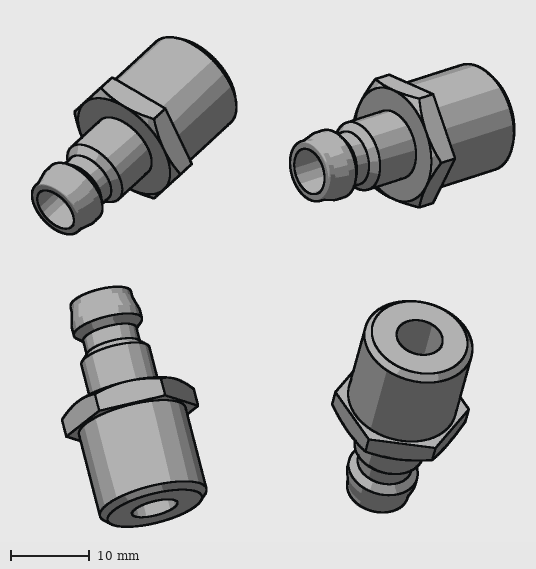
import cadquery as cq
import math

total_length = 29.0
tip_land_end = 1.0
nose_end = 2.85
bead_end = 4.0
groove_start = 5.0
groove_end = 7.0
shank_start = 8.0
hex_front = 14.0
hex_back = 17.0

bore_radius = 3.0
tip_radius = 4.0
groove_radius = 3.5
shank_radius = 4.5
body_radius = 7.02
hex_across_flats = 15.0

tip_rounding = 0.25
body_chamfer = 0.8
hex_chamfer_angle = math.radians(30)

hex_corner_radius = hex_across_flats / math.sqrt(3)
hex_flat_radius = hex_across_flats / 2


def revolve_about_y(profile):
    """Turn a closed half profile in the XY plane around the Y axis."""
    return profile.close().revolve(360, (0, 0, 0), (0, 1, 0))


def make_plug():
    """Grooved plug with a tapered nose, reaching to the back of the hexagon."""
    return revolve_about_y(
        cq.Workplane("XY")
        .moveTo(0, 0)
        .lineTo(tip_radius - tip_rounding, 0)
        .radiusArc((tip_radius, tip_rounding), -tip_rounding)
        .lineTo(tip_radius, tip_land_end)
        .lineTo(shank_radius, nose_end)
        .lineTo(shank_radius, bead_end)
        .lineTo(groove_radius, groove_start)
        .lineTo(groove_radius, groove_end)
        .lineTo(shank_radius, shank_start)
        .lineTo(shank_radius, hex_back)
        .lineTo(0, hex_back)
    )


def make_hexagon():
    """Hexagon with corners on +X and -X, its front corners turned to a cone."""
    prism = (
        cq.Workplane("XZ", origin=(0, hex_back, 0))
        .polygon(6, 2 * hex_corner_radius)
        .extrude(hex_back - hex_front)
    )
    chamfer_depth = (hex_corner_radius - hex_flat_radius) * math.tan(hex_chamfer_angle)
    envelope = revolve_about_y(
        cq.Workplane("XY")
        .moveTo(0, hex_front)
        .lineTo(hex_flat_radius, hex_front)
        .lineTo(hex_corner_radius, hex_front + chamfer_depth)
        .lineTo(hex_corner_radius, hex_back)
        .lineTo(0, hex_back)
    )
    return prism.intersect(envelope)


def make_body():
    """Plain cylindrical body behind the hexagon, chamfered at its free end."""
    return (
        cq.Workplane("XZ", origin=(0, total_length, 0))
        .circle(body_radius)
        .extrude(total_length - hex_back)
        .faces(">Y")
        .chamfer(body_chamfer)
    )


def make_bore():
    """Straight through bore."""
    return cq.Workplane("XZ").circle(bore_radius).extrude(-total_length)


result = make_plug().union(make_hexagon()).union(make_body()).cut(make_bore())